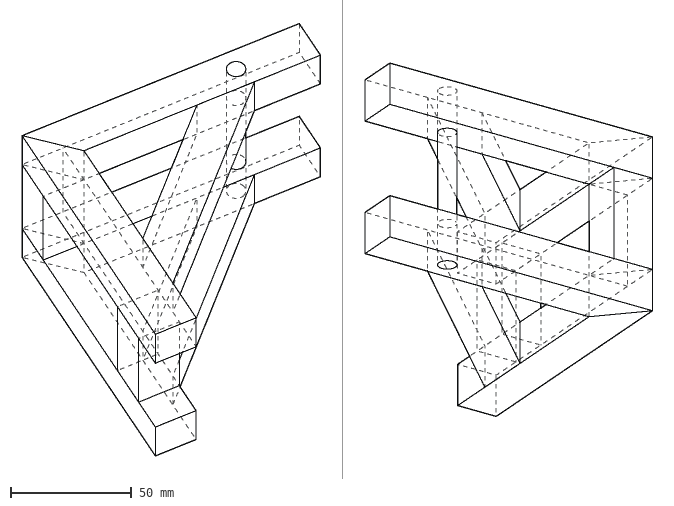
import cadquery as cq

frame_x = 119.5
frame_y = 129.5
frame_z = 80.0
beam = 19.0
brace_reach = 79.7
post_x = 85.5
pin_y = 95.1
pin_diameter = 8.0

gap = frame_z - 2 * beam
frame_levels = [0, frame_z - beam]
brace_inner_reach = brace_reach - beam * 2 ** 0.5
post_positions = [0, post_x]


def prism(points, level):
    """Extrude a plan outline to one beam height."""
    return cq.Workplane("XY").workplane(offset=level).polyline(points).close().extrude(beam)


def pin_cylinder():
    """Full-height pin centred across the side beams."""
    return cq.Workplane("XY").center(beam / 2, pin_y).circle(pin_diameter / 2).extrude(frame_z)


def front_beam(level):
    """Beam along X, mitred at the corner."""
    return prism([(0, 0), (frame_x, 0), (frame_x, beam), (beam, beam)], level)


def side_beam(level):
    """Beam along Y, mitred at the corner and drilled for the pin."""
    blank = prism([(0, 0), (beam, beam), (beam, frame_y), (0, frame_y)], level)
    return blank.cut(pin_cylinder())


def diagonal_brace(level):
    """45 degree brace ending flush against both beams."""
    outline = [
        (beam + brace_inner_reach, beam),
        (beam + brace_reach, beam),
        (beam, beam + brace_reach),
        (beam, beam + brace_inner_reach),
    ]
    return prism(outline, level)


def post(x):
    """Square post standing between the two front beams."""
    return cq.Workplane("XY").box(beam, beam, gap, centered=False).translate((x, 0, beam))


front_beams = [front_beam(level) for level in frame_levels]
side_beams = [side_beam(level) for level in frame_levels]
braces = [diagonal_brace(level) for level in frame_levels]
posts = [post(x) for x in post_positions]
pin = pin_cylinder()

bodies = [*front_beams, *side_beams, *braces, *posts, pin]
result = cq.Compound.makeCompound([body.val() for body in bodies])